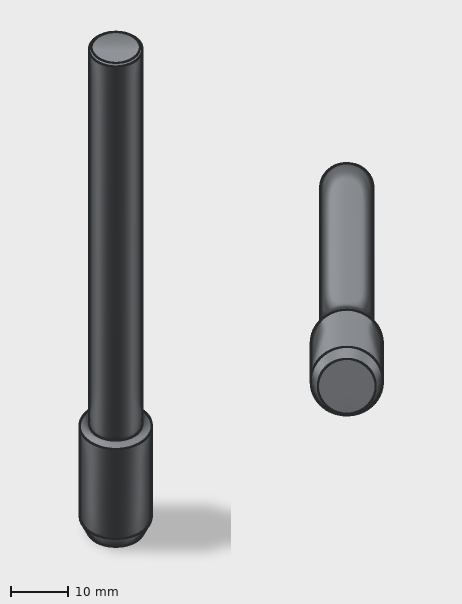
import cadquery as cq

TOTAL_LENGTH = 110.0
ROD_DIAMETER = 9.4
ROD_CHAMFER_WIDTH = 0.4
ROD_CHAMFER_HEIGHT = 0.4

GRIP_DIAMETER = 12.6
GRIP_LENGTH = 24.0
SHOULDER_HEIGHT = 0.5
NOSE_HEIGHT = 2.9
NOSE_RADIUS = 5.1

ROD_RADIUS = ROD_DIAMETER / 2
GRIP_RADIUS = GRIP_DIAMETER / 2


def revolve_profile(points):
    """Revolve a closed (radius, height) outline about the Z axis."""
    return cq.Workplane("XZ").polyline(points).close().revolve(360, (0, 0, 0), (0, 1, 0))


def make_rod():
    """Round rod standing on the grip, chamfered at its free upper end."""
    return revolve_profile([
        (0, GRIP_LENGTH),
        (ROD_RADIUS, GRIP_LENGTH),
        (ROD_RADIUS, TOTAL_LENGTH - ROD_CHAMFER_HEIGHT),
        (ROD_RADIUS - ROD_CHAMFER_WIDTH, TOTAL_LENGTH),
        (0, TOTAL_LENGTH),
    ])


def make_grip():
    """Solid grip with a tapered nose and a shallow conical shoulder meeting the rod."""
    return revolve_profile([
        (0, 0),
        (NOSE_RADIUS, 0),
        (GRIP_RADIUS, NOSE_HEIGHT),
        (GRIP_RADIUS, GRIP_LENGTH - SHOULDER_HEIGHT),
        (ROD_RADIUS, GRIP_LENGTH),
        (0, GRIP_LENGTH),
    ])


rod = make_rod()
grip = make_grip()

result = cq.Compound.makeCompound([rod.val(), grip.val()])